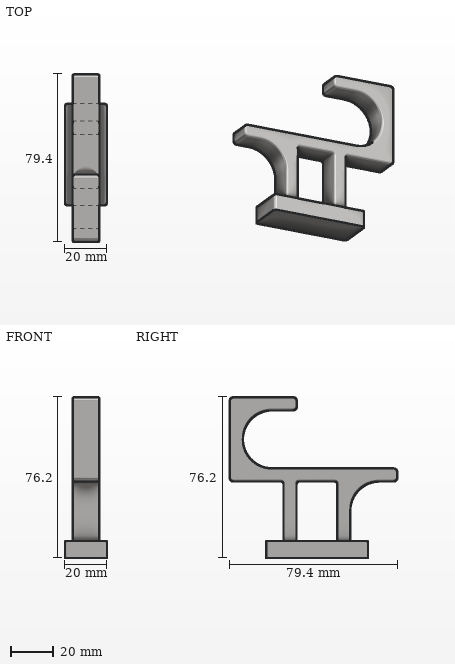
import cadquery as cq

total_length = 79.38
total_height = 76.2

base_width = 19.99
base_length = 48.26
base_height = 8.2
base_corner_radius = 1.5
base_top_radius = 0.76

body_width = 12.7
wall = 6.35
hook_radius = 13.65
brace_radius = 13.6
tip_radius = 2.0
crotch_radius = 1.0
edge_radius = 1.0
upper_arm_length = 31.85
post_spacing = 25.4
post_sink = base_height / 2

arm_overhang = 13.88
arm_tip_y = base_length / 2 + arm_overhang
back_y = arm_tip_y - total_length
upper_tip_y = back_y + upper_arm_length
hook_center_y = back_y + wall + hook_radius
tip_post_offset = 8.32
tip_post_y = base_length / 2 - tip_post_offset
back_post_y = tip_post_y - post_spacing

upper_arm_bottom = total_height - wall
arm_top = upper_arm_bottom - 2 * hook_radius
arm_bottom = arm_top - wall
hook_center_z = arm_top + hook_radius
post_bottom = base_height - post_sink


def make_base():
    plate = cq.Workplane("XY").box(base_width, base_length, base_height, centered=(True, True, False))
    plate = plate.edges("|Z").fillet(base_corner_radius)
    return plate.faces(">Z").edges().fillet(base_top_radius)


def corner_selector(y, z):
    """Selects the X-direction edge of the profile that passes through (y, z)."""
    reach = 0.1
    return cq.selectors.BoxSelector(
        (-body_width, y - reach, z - reach), (body_width, y + reach, z + reach)
    )


def fillet_corners(body, corners, radius):
    for y, z in corners:
        body = body.edges(corner_selector(y, z)).fillet(radius)
    return body


def make_hook():
    body = (
        cq.Workplane("YZ")
        .moveTo(arm_tip_y, arm_bottom)
        .lineTo(arm_tip_y, arm_top)
        .lineTo(hook_center_y, arm_top)
        .threePointArc((back_y + wall, hook_center_z), (hook_center_y, upper_arm_bottom))
        .lineTo(upper_tip_y, upper_arm_bottom)
        .lineTo(upper_tip_y, total_height)
        .lineTo(back_y, total_height)
        .lineTo(back_y, arm_bottom)
        .lineTo(back_post_y - wall, arm_bottom)
        .lineTo(back_post_y - wall, post_bottom)
        .lineTo(back_post_y, post_bottom)
        .lineTo(back_post_y, arm_bottom)
        .lineTo(tip_post_y - wall, arm_bottom)
        .lineTo(tip_post_y - wall, post_bottom)
        .lineTo(tip_post_y, post_bottom)
        .lineTo(tip_post_y, arm_bottom)
        .close()
        .extrude(body_width / 2, both=True)
    )
    outer_corners = [
        (arm_tip_y, arm_bottom),
        (arm_tip_y, arm_top),
        (upper_tip_y, upper_arm_bottom),
        (upper_tip_y, total_height),
        (back_y, total_height),
        (back_y, arm_bottom),
    ]
    post_crotches = [
        (back_post_y - wall, arm_bottom),
        (back_post_y, arm_bottom),
        (tip_post_y - wall, arm_bottom),
    ]
    body = fillet_corners(body, outer_corners, tip_radius)
    body = fillet_corners(body, post_crotches, crotch_radius)
    body = fillet_corners(body, [(tip_post_y, arm_bottom)], brace_radius)

    side_edges = body.faces("<X or >X").edges("not(<Z)")
    return side_edges.fillet(edge_radius)


result = make_base().union(make_hook())